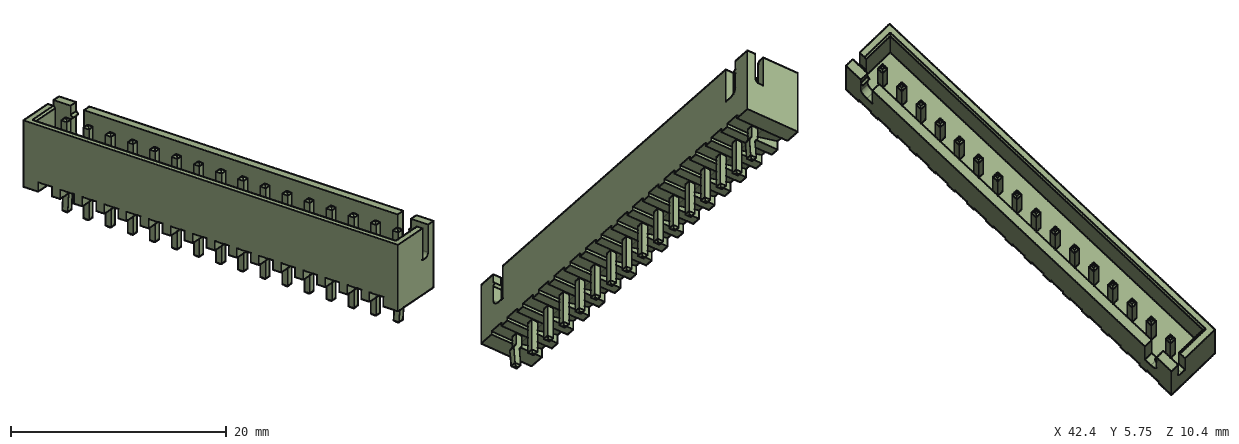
import cadquery as cq


PIN_COUNT = 16
PIN_PITCH = 2.5
PIN_SIZE = 0.64
PIN_TIP_CHAMFER = 0.2
PIN_TOP_Z = 6.5
PIN_BOTTOM_Z = -3.4

KINK_START_Z = -0.9
KINK_END_Z = -1.4
KINK_OFFSET = 0.28
KINK_TIP_OFFSET = 0.12

END_MARGIN = 2.45
FRONT_Y = -3.4
BACK_Y = 2.35
HEIGHT = 7.0
LENGTH = (PIN_COUNT - 1) * PIN_PITCH + 2 * END_MARGIN

FRONT_WALL = 0.77
BACK_WALL = 0.9
SIDE_WALL = 0.84
FLOOR_Z = 2.0
LEAD_IN = 0.2

END_SLOT_DEPTH = 3.35
END_SLOT_WIDTH = 0.9
END_SLOT_RADIUS = 0.45
BACK_SLOT_DEPTH = 3.85
BACK_SLOT_START = 1.95
BACK_SLOT_WIDTH = 1.5
BACK_SLOT_RADIUS = 0.75

RIDGE_DROP = 0.95
RIDGE_PROTRUSION = 0.25

CHANNEL_WIDTH = 1.56
CHANNEL_HEIGHT = 0.37
CHANNEL_MOUTH_HEIGHT = 1.0
CHANNEL_MOUTH_DEPTH = 2.6

CAVITY_FRONT_Y = FRONT_Y + FRONT_WALL
CAVITY_BACK_Y = BACK_Y - BACK_WALL
CAVITY_HALF_LENGTH = LENGTH / 2 - SIDE_WALL


def box(x_range, y_range, z_range):
    """Axis-aligned box between pairs of coordinates."""
    size = [high - low for low, high in (x_range, y_range, z_range)]
    corner = cq.Vector(x_range[0], y_range[0], z_range[0])
    return cq.Workplane(cq.Solid.makeBox(*size, corner))


def make_lead_in():
    """Flared mouth of the cavity; the back wall stays upright."""
    depth = CAVITY_BACK_Y - CAVITY_FRONT_Y
    return (
        cq.Workplane("XY", origin=(0, CAVITY_BACK_Y, HEIGHT - LEAD_IN))
        .center(0, -depth / 2)
        .rect(2 * CAVITY_HALF_LENGTH, depth)
        .workplane(offset=LEAD_IN)
        .center(0, -LEAD_IN / 2)
        .rect(2 * (CAVITY_HALF_LENGTH + LEAD_IN), depth + LEAD_IN)
        .loft(ruled=True)
    )


def make_end_slot():
    """Slot through both end walls, rounded at the bottom on its back side."""
    y_range = (CAVITY_BACK_Y - END_SLOT_WIDTH, CAVITY_BACK_Y)
    slot = box((-LENGTH / 2, LENGTH / 2), y_range, (HEIGHT - END_SLOT_DEPTH, HEIGHT))
    return slot.edges("|X and <Z and >Y").fillet(END_SLOT_RADIUS)


def make_back_slot():
    """Slot through the back wall near the -X end.

    Its outer side is rounded at the bottom and carries a 45-degree ridge near the rim.
    """
    start_x = -LENGTH / 2 + BACK_SLOT_START
    x_range = (start_x, start_x + BACK_SLOT_WIDTH)
    slot = box(x_range, (CAVITY_BACK_Y, BACK_Y), (HEIGHT - BACK_SLOT_DEPTH, HEIGHT))
    slot = slot.edges("|Y and <Z and <X").fillet(BACK_SLOT_RADIUS)
    ridge_top_z = HEIGHT - RIDGE_DROP
    ridge = (
        cq.Workplane("XZ", origin=(start_x, BACK_Y, 0))
        .moveTo(0, ridge_top_z)
        .lineTo(RIDGE_PROTRUSION, ridge_top_z - RIDGE_PROTRUSION)
        .lineTo(0, ridge_top_z - 2 * RIDGE_PROTRUSION)
        .close()
        .extrude(BACK_WALL)
    )
    return slot.cut(ridge)


def make_channel(x):
    """Channel along Y under one pin, with a sloping roof at the front."""
    mouth_end_y = FRONT_Y + CHANNEL_MOUTH_DEPTH
    return (
        cq.Workplane("YZ", origin=(x, 0, 0))
        .moveTo(FRONT_Y, 0)
        .lineTo(FRONT_Y, CHANNEL_MOUTH_HEIGHT)
        .lineTo(mouth_end_y, CHANNEL_HEIGHT)
        .lineTo(BACK_Y, CHANNEL_HEIGHT)
        .lineTo(BACK_Y, 0)
        .close()
        .extrude(CHANNEL_WIDTH / 2, both=True)
    )


def make_housing(pin_xs):
    """Open-topped box with slotted walls and relief channels."""
    housing = box((-LENGTH / 2, LENGTH / 2), (FRONT_Y, BACK_Y), (0, HEIGHT))
    cavity = box(
        (-CAVITY_HALF_LENGTH, CAVITY_HALF_LENGTH),
        (CAVITY_FRONT_Y, CAVITY_BACK_Y),
        (FLOOR_Z, HEIGHT),
    )
    back_slot = make_back_slot()
    housing = housing.cut(cavity).cut(make_lead_in()).cut(make_end_slot())
    housing = housing.cut(back_slot).cut(back_slot.mirror("YZ"))
    for x in pin_xs:
        housing = housing.cut(make_channel(x))
    return housing


def make_pin(x):
    """Straight square pin with chamfered tips."""
    half = PIN_SIZE / 2
    pin = box((x - half, x + half), (-half, half), (PIN_BOTTOM_Z, PIN_TOP_Z))
    return pin.faces("<Z or >Z").chamfer(PIN_TIP_CHAMFER)


def make_kinked_pin(x):
    """Square pin whose tail steps toward +Y and then leans back to its tip."""
    half = PIN_SIZE / 2
    centre_line = [
        (0, PIN_TOP_Z),
        (0, KINK_START_Z),
        (KINK_OFFSET, KINK_END_Z),
        (KINK_TIP_OFFSET, PIN_BOTTOM_Z),
    ]
    front_side = [(y - half, z) for y, z in centre_line]
    back_side = [(y + half, z) for y, z in reversed(centre_line)]
    pin = cq.Workplane("YZ", origin=(x, 0, 0)).polyline(front_side + back_side).close()
    pin = pin.extrude(half, both=True)
    return pin.faces("<Z or >Z").chamfer(PIN_TIP_CHAMFER)


pin_xs = [(i - (PIN_COUNT - 1) / 2) * PIN_PITCH for i in range(PIN_COUNT)]

result = make_housing(pin_xs)
for x in pin_xs[1:-1]:
    result = result.union(make_pin(x))
for x in (pin_xs[0], pin_xs[-1]):
    result = result.union(make_kinked_pin(x))